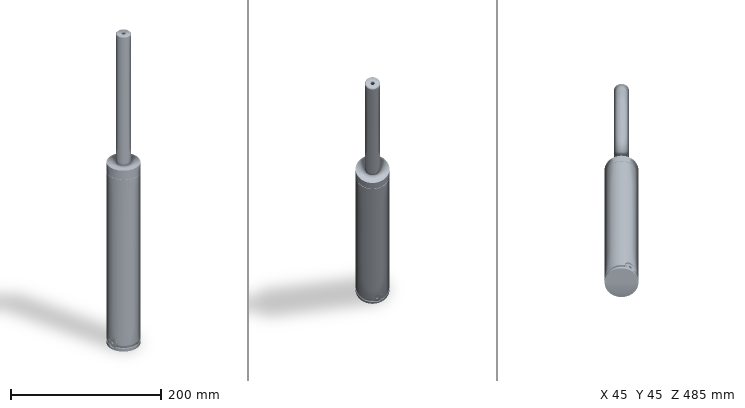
import cadquery as cq

total_length = 485.0
body_diameter = 45.0
body_length = 283.0
rod_diameter = 20.0
rod_chamfer = 1.0

end_flange_height = 4.5
groove_height = 4.5
groove_diameter = 40.5

cap_height = 14.5
seam_width = 1.0
seam_depth = 0.5

rod_hole_diameter = 5.0
rod_hole_mouth_diameter = 7.0
rod_hole_mouth_angle = 90.0
rod_hole_depth = 14.5

port_height = 10.5
port_diameter = 16.0
port_face_diameter = 14.0
port_face_offset = 21.5
port_rim_depth = 1.0
port_hole_diameter = 5.0
port_hole_depth = 5.0


def cylinder(diameter, bottom, height):
    return cq.Workplane("XY").workplane(offset=bottom).circle(diameter / 2).extrude(height)


def port_cylinder(diameter, outer_offset, depth):
    """Cylinder along Y, running inward from its outer end on the -Y side."""
    plane = cq.Plane(origin=(0, -outer_offset, port_height), xDir=(1, 0, 0), normal=(0, 1, 0))
    return cq.Workplane(plane).circle(diameter / 2).extrude(depth)


def ring_cut(inner_diameter, bottom, height):
    return cylinder(2 * body_diameter, bottom, height).cut(cylinder(inner_diameter, bottom, height))


def make_body():
    body = cylinder(body_diameter, 0, body_length)
    body = body.cut(ring_cut(groove_diameter, end_flange_height, groove_height))
    seam_bottom = body_length - cap_height
    return body.cut(ring_cut(body_diameter - 2 * seam_depth, seam_bottom, seam_width))


def make_rod():
    rod = cylinder(rod_diameter, body_length, total_length - body_length)
    rod = rod.faces(">Z").chamfer(rod_chamfer)
    return rod.faces(">Z").workplane().cskHole(
        rod_hole_diameter, rod_hole_mouth_diameter, rod_hole_mouth_angle, depth=rod_hole_depth
    )


def add_port(body):
    spotface_depth = body_diameter / 2 - port_face_offset
    body = body.cut(port_cylinder(port_diameter, body_diameter / 2, spotface_depth))
    plug = port_cylinder(port_diameter, port_face_offset, port_hole_depth)
    body = body.union(plug)

    rim = port_cylinder(port_diameter, port_face_offset, port_rim_depth)
    rim = rim.cut(port_cylinder(port_face_diameter, port_face_offset, port_rim_depth))
    hole = port_cylinder(port_hole_diameter, port_face_offset, port_hole_depth)
    return body.cut(rim).cut(hole)


result = add_port(make_body()).union(make_rod())